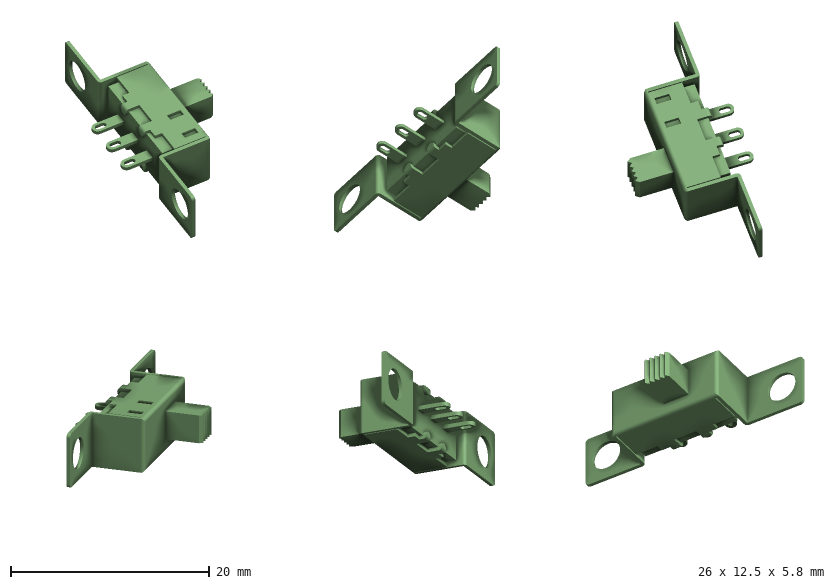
import cadquery as cq


sheet = 0.4
overall_length = 26.0
bracket_height = 5.8
frame_length = 12.8
frame_depth = 6.0
bend_radius = sheet
ear_corner_radius = 0.4
mount_hole_diameter = 3.3
mount_hole_spacing = 21.0

plate_length = 11.8
plate_edge_y = 2.0
tab_outer_x = 3.33
tab_inner_x = 1.3
tab_step_y = 1.2
clamp_width = 1.01

contact_pitch = 2.96

window_width = 0.73
window_near_y = 3.7
window_far_y = 5.25
first_window_x = 1.75

housing_length = 11.02
housing_back_y = 0.8

terminal_width = 1.2
terminal_thickness = 0.42
terminal_tip_y = -2.5
eyelet_width = 0.62
eyelet_length = 1.25
eyelet_y = -1.53

lever_size = 3.0
lever_top_y = 10.0
tooth_count = 5
tooth_depth = 0.4

frame_half = frame_length / 2
cavity_half = frame_half - sheet
half_height = bracket_height / 2
housing_height = bracket_height - 2 * sheet


def box(x_range, y_range, z_range):
    """Axis-aligned box between the given limits."""
    size = [high - low for low, high in (x_range, y_range, z_range)]
    corner = (x_range[0], y_range[0], z_range[0])
    return cq.Workplane("XY").box(*size, centered=False).translate(corner)


def extrude_along_z(sketch, height):
    """Extrude an XY sketch by the given height, centred on Z = 0."""
    return sketch.extrude(height / 2, both=True)


def make_frame():
    """Bent strip: two drilled ears, two end walls and the lever-side face."""
    ear_end = overall_length / 2
    strip = extrude_along_z(
        cq.Workplane("XY").polyline([
            (-ear_end, 0),
            (-cavity_half, 0),
            (-cavity_half, frame_depth - sheet),
            (cavity_half, frame_depth - sheet),
            (cavity_half, 0),
            (ear_end, 0),
            (ear_end, sheet),
            (frame_half, sheet),
            (frame_half, frame_depth),
            (-frame_half, frame_depth),
            (-frame_half, sheet),
            (-ear_end, sheet),
        ]).close(),
        bracket_height,
    )
    for side in (-1, 1):
        bend = cq.selectors.NearestToPointSelector((side * cavity_half, 0, 0))
        strip = strip.edges(bend).fillet(bend_radius)
    strip = strip.edges("|Y").edges("<X or >X").fillet(ear_corner_radius)
    holes = (
        cq.Workplane("XZ")
        .pushPoints([(-mount_hole_spacing / 2, 0), (mount_hole_spacing / 2, 0)])
        .circle(mount_hole_diameter / 2)
        .extrude(-sheet)
    )
    return strip.cut(holes)


def make_clamp(x_center):
    """Tab end bent over the housing back, with a semicircular tip."""
    fold_z = half_height - sheet
    x_range = (x_center - clamp_width / 2, x_center + clamp_width / 2)
    y_range = (housing_back_y - sheet, housing_back_y)
    fold = box(x_range, y_range, (fold_z, half_height))
    bend = (
        cq.Workplane("YZ", origin=(x_center, housing_back_y, fold_z))
        .circle(bend_radius)
        .extrude(clamp_width, both=True)
    )
    fold = fold.intersect(bend)
    tip = (
        cq.Workplane("XZ", origin=(x_center, housing_back_y, fold_z))
        .circle(clamp_width / 2)
        .extrude(sheet)
    )
    above_fold = box(x_range, y_range, (fold_z, fold_z + clamp_width))
    return fold.union(tip.cut(above_fold))


def make_side_plate():
    """Upper (+Z) side plate with two stepped tabs ending in clamps."""
    z_range = (half_height - sheet, half_height)
    plate = box((-plate_length / 2, plate_length / 2), (plate_edge_y, frame_depth), z_range)
    clamp_x = tab_inner_x + clamp_width / 2
    clamp_edge_x = tab_inner_x + clamp_width
    for side in (-1, 1):
        shoulder_x = sorted((side * tab_inner_x, side * tab_outer_x))
        neck_x = sorted((side * tab_inner_x, side * clamp_edge_x))
        shoulder = box(shoulder_x, (tab_step_y, plate_edge_y), z_range)
        neck = box(neck_x, (housing_back_y, tab_step_y), z_range)
        plate = plate.union(shoulder).union(neck).union(make_clamp(side * clamp_x))
    return plate


def make_windows():
    """Cutters for the two rectangular windows in the upper side plate."""
    windows = cq.Workplane("XY")
    for x_center in (first_window_x, first_window_x + contact_pitch):
        windows = windows.union(box(
            (x_center - window_width / 2, x_center + window_width / 2),
            (window_near_y, window_far_y),
            (half_height - sheet, half_height),
        ))
    return windows


def make_bracket():
    """Complete sheet-metal bracket, rounded where it folds around the lever face."""
    upper_plate = make_side_plate()
    lower_plate = upper_plate.mirror("XY")
    bracket = make_frame().union(upper_plate).union(lower_plate)
    case_block = box((-frame_half, frame_half), (0, frame_depth), (-half_height, half_height))
    outside_bends = case_block.cut(case_block.faces(">Y").edges().fillet(bend_radius))
    return bracket.cut(outside_bends).cut(make_windows())


def make_housing():
    """Plastic block between the side plates."""
    return box(
        (-housing_length / 2, housing_length / 2),
        (housing_back_y, frame_depth - sheet),
        (-housing_height / 2, housing_height / 2),
    )


def make_terminal(x_center):
    """Flat solder lug with a rounded tip and a slotted eyelet."""
    half_width = terminal_width / 2
    round_start_y = terminal_tip_y + half_width
    lug = extrude_along_z(
        cq.Workplane("XY")
        .moveTo(-half_width, housing_back_y)
        .lineTo(-half_width, round_start_y)
        .threePointArc((0, terminal_tip_y), (half_width, round_start_y))
        .lineTo(half_width, housing_back_y)
        .close(),
        terminal_thickness,
    )
    eyelet = extrude_along_z(
        cq.Workplane("XY").center(0, eyelet_y).slot2D(eyelet_length, eyelet_width, 90),
        terminal_thickness,
    )
    return lug.cut(eyelet).translate((x_center, 0, 0))


def make_lever():
    """Square lever with a serrated tip, resting at one end of its travel."""
    valley_y = lever_top_y - tooth_depth
    tooth_pitch = lever_size / tooth_count
    left = -lever_size / 2
    outline = [(left, frame_depth - sheet), (left, valley_y)]
    for index in range(tooth_count):
        outline.append((left + (index + 0.5) * tooth_pitch, lever_top_y))
        outline.append((left + (index + 1) * tooth_pitch, valley_y))
    outline.append((-left, frame_depth - sheet))
    lever = extrude_along_z(cq.Workplane("XY").polyline(outline).close(), lever_size)
    return lever.translate((-contact_pitch / 2, 0, 0))


result = make_bracket().union(make_housing()).union(make_lever())
for position in (-1, 0, 1):
    result = result.union(make_terminal(position * contact_pitch))